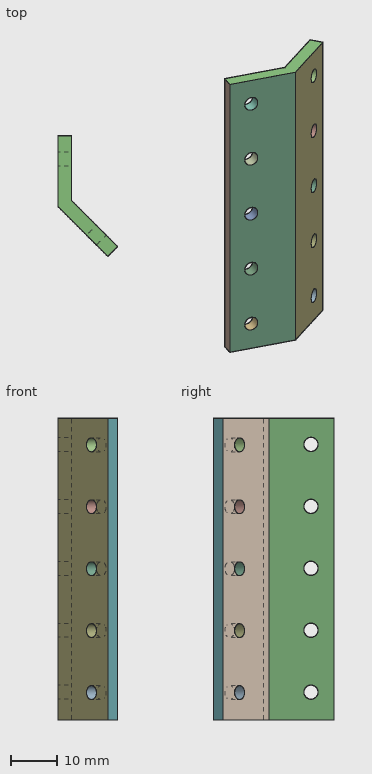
import cadquery as cq
import math

height = 65.0
thickness = 3.0
inner_leg_length = 14.0
bend_angle = 45.0
hole_diameter = 3.0
hole_edge_distance = 5.0
hole_count = 5
hole_pitch = 40.0 / 3.0
straight_leg_lowest_hole = 6.0
slanted_leg_lowest_hole = 5.91

mitre = thickness * math.tan(math.radians(bend_angle / 2))
outer_leg_length = inner_leg_length + mitre
hole_distance_from_bend = outer_leg_length - hole_edge_distance


def make_leg(direction, lowest_hole):
    """Leg along Y with its outer face on X = 0, mitred at the bend and drilled.

    direction is +1 or -1, the Y sense from the bend at the origin to the free edge.
    """
    outline = [
        (0, 0),
        (0, direction * outer_leg_length),
        (thickness, direction * outer_leg_length),
        (thickness, direction * mitre),
    ]
    leg = cq.Workplane("XY").polyline(outline).close().extrude(height)
    hole_centres = [
        (direction * hole_distance_from_bend, lowest_hole + index * hole_pitch)
        for index in range(hole_count)
    ]
    holes = (
        cq.Workplane("YZ")
        .pushPoints(hole_centres)
        .circle(hole_diameter / 2)
        .extrude(thickness)
    )
    return leg.cut(holes)


straight_leg = make_leg(1, straight_leg_lowest_hole)
slanted_leg = make_leg(-1, slanted_leg_lowest_hole)
slanted_leg = slanted_leg.rotate((0, 0, 0), (0, 0, 1), bend_angle)

result = straight_leg.union(slanted_leg).clean()